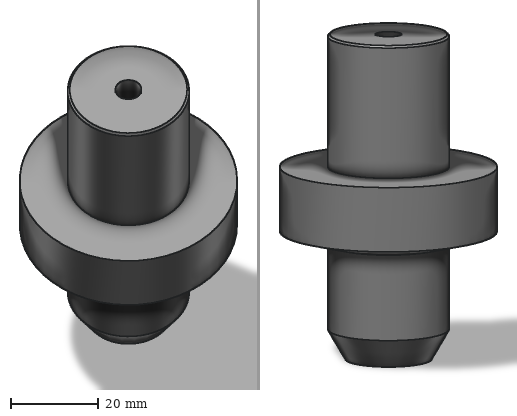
import cadquery as cq
import math

total_height = 76.0
shaft_radius = 14.0
bore_diameter = 6.0
top_chamfer = 0.5

tip_height = 7.0
tip_angle = 30.0
tip_radius = shaft_radius - tip_height * math.tan(math.radians(tip_angle))

collar_radius = 25.0
collar_top = 45.0
collar_edge_bottom = 29.95
underside_angle = 15.0
underside_height = (collar_radius - shaft_radius) * math.tan(math.radians(underside_angle))
collar_bottom = collar_edge_bottom - underside_height

profile = [
    (0, 0),
    (tip_radius, 0),
    (shaft_radius, tip_height),
    (shaft_radius, collar_bottom),
    (collar_radius, collar_edge_bottom),
    (collar_radius, collar_top),
    (shaft_radius, collar_top),
    (shaft_radius, total_height - top_chamfer),
    (shaft_radius - top_chamfer, total_height),
    (0, total_height),
]
body = cq.Workplane("XZ").polyline(profile).close().revolve(360, (0, 0, 0), (0, 1, 0))

bore = cq.Workplane("XY").circle(bore_diameter / 2).extrude(total_height)

result = body.cut(bore)